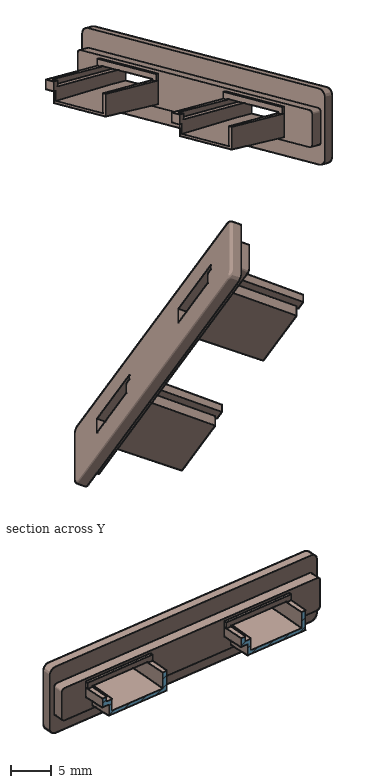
import cadquery as cq

PLATE_LENGTH = 42.8
PLATE_HEIGHT = 9.84
PLATE_THICKNESS = 1.55
PLATE_CORNER_RADIUS = 1.0
PLATE_BACK_FILLET = 0.4

BOSS_LENGTH = 41.36
BOSS_HEIGHT = 4.8
BOSS_THICKNESS = 1.5
BOSS_CORNER_RADIUS = 0.5

TRAY_PITCH = 22.2
TRAY_CENTER_OFFSET = -0.54
TRAY_LENGTH = 9.2
TRAY_WIDTH = 10.40
CHANNEL_OVERHANG = 1.05
TRAY_TOP = 1.1
TRAY_BOTTOM = -1.95
CHANNEL_BOTTOM = -0.3
OUTER_DRAFT = 0.12

CAVITY_TOP = 1.23
SIDE_WALL = 0.77
INNER_WALL = 0.6
FLOOR_WALL = 0.79
CAVITY_SIDE_DRAFT = 0.13
CAVITY_FLOOR_DRAFT = 0.31

LINTEL_TOP = 2.0
LINTEL_THICKNESS = 0.4
CAP_THICKNESS = 0.75
CAP_PROTRUSION = 0.4

BOSS_FACE = PLATE_THICKNESS + BOSS_THICKNESS
TRAY_TIP = BOSS_FACE + TRAY_LENGTH

OUTER_RIGHT = TRAY_WIDTH / 2
OUTER_LEFT = -OUTER_RIGHT
STEP_LEFT = OUTER_LEFT + CHANNEL_OVERHANG
CAVITY_STEP_LEFT = STEP_LEFT + INNER_WALL


def plane_at(depth):
    """XZ work plane at a depth in front of the back face; extrudes toward -Y."""
    return cq.Workplane("XZ", origin=(0, -depth, 0))


def stepped_outline(left, step_left, right, top, step_bottom, bottom):
    """Corner points of a rectangle with a side channel on its upper left."""
    return [
        (left, top),
        (right, top),
        (right, bottom),
        (step_left, bottom),
        (step_left, step_bottom),
        (left, step_bottom),
    ]


def outer_outline(draft):
    return stepped_outline(
        OUTER_LEFT + draft,
        STEP_LEFT + draft,
        OUTER_RIGHT - draft,
        TRAY_TOP,
        CHANNEL_BOTTOM + draft,
        TRAY_BOTTOM + draft,
    )


def cavity_outline(side_draft, floor_draft):
    return stepped_outline(
        OUTER_LEFT + SIDE_WALL - side_draft,
        CAVITY_STEP_LEFT - side_draft,
        OUTER_RIGHT - SIDE_WALL + side_draft,
        CAVITY_TOP,
        CHANNEL_BOTTOM + SIDE_WALL - side_draft,
        TRAY_BOTTOM + FLOOR_WALL - floor_draft,
    )


def drafted(root_outline, tip_outline, depth=BOSS_FACE, length=TRAY_LENGTH):
    """Ruled solid between two outlines; by default from the boss face to the tray tip."""
    return (
        plane_at(depth)
        .polyline(root_outline)
        .close()
        .workplane(offset=length)
        .polyline(tip_outline)
        .close()
        .loft(ruled=True)
    )


def box_between(left, right, bottom, top, depth, thickness):
    return (
        plane_at(depth)
        .center((left + right) / 2, (bottom + top) / 2)
        .rect(right - left, top - bottom)
        .extrude(thickness)
    )


def make_plate():
    return (
        plane_at(0)
        .rect(PLATE_LENGTH, PLATE_HEIGHT)
        .extrude(PLATE_THICKNESS)
        .edges("|Y")
        .fillet(PLATE_CORNER_RADIUS)
        .faces(">Y")
        .edges()
        .fillet(PLATE_BACK_FILLET)
    )


def make_boss():
    return (
        plane_at(PLATE_THICKNESS)
        .rect(BOSS_LENGTH, BOSS_HEIGHT)
        .extrude(BOSS_THICKNESS)
        .edges("|Y")
        .fillet(BOSS_CORNER_RADIUS)
    )


def make_tray_body():
    tray = drafted(outer_outline(0), outer_outline(OUTER_DRAFT))
    lintel = box_between(OUTER_LEFT, OUTER_RIGHT, TRAY_TOP, LINTEL_TOP, BOSS_FACE, LINTEL_THICKNESS)
    return tray.union(lintel)


def make_cavity():
    root = cavity_outline(0, 0)
    tip = cavity_outline(CAVITY_SIDE_DRAFT, CAVITY_FLOOR_DRAFT)
    window = plane_at(0).polyline(root).close().extrude(BOSS_FACE)
    return window.union(drafted(root, tip))


def cap_section(depth):
    """Side channel cross-section at a depth, following the tray draft."""
    travel = (depth - BOSS_FACE) / TRAY_LENGTH
    left = OUTER_LEFT + OUTER_DRAFT * travel
    right = CAVITY_STEP_LEFT - CAVITY_SIDE_DRAFT * travel
    bottom = CHANNEL_BOTTOM + OUTER_DRAFT * travel
    return [(left, TRAY_TOP), (right, TRAY_TOP), (right, bottom), (left, bottom)]


def make_channel_cap():
    cap_front = TRAY_TIP + CAP_PROTRUSION
    cap_back = cap_front - CAP_THICKNESS
    return drafted(cap_section(cap_back), cap_section(cap_front), cap_back, CAP_THICKNESS)


result = make_plate().union(make_boss())
for side in (-1, 1):
    shift = (TRAY_CENTER_OFFSET + side * TRAY_PITCH / 2, 0, 0)
    result = result.union(make_tray_body().translate(shift))
    result = result.cut(make_cavity().translate(shift))
    result = result.union(make_channel_cap().translate(shift))